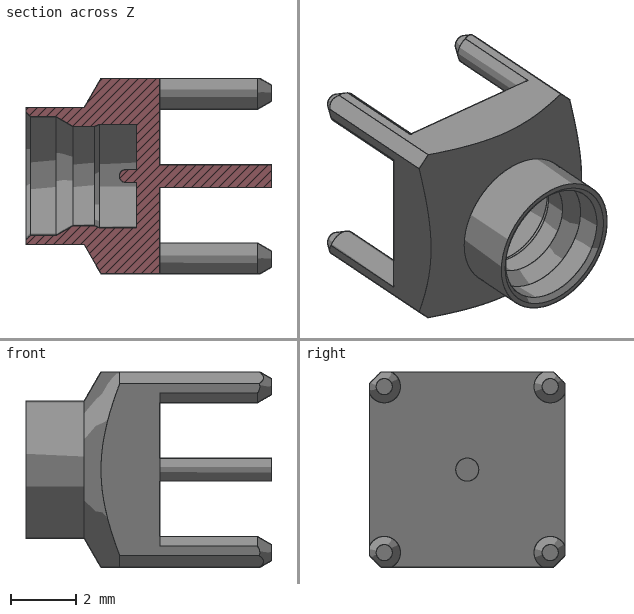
import cadquery as cq
import math

total_length = 7.52
body_width = 5.99
half_width = body_width / 2
corner_chamfer = 0.36
flare_angle = math.radians(30)

sleeve_radius = 2.105
sleeve_length = 1.78
body_back = 4.1

mouth_radius = 1.955
entry_radius = 1.81
taper_start = 0.925
neck_radius = 1.52
neck_end = 2.105
undercut_radius = 1.58
undercut_start = 2.25
bore_depth = 3.385

contact_radius = 0.2
contact_tip = 2.86
pin_radius = 0.35
leg_radius = 0.5
leg_tip_radius = 0.25
leg_offset = 2.54


def revolve_about_x(points):
    """Revolve a closed (x, radius) outline around the X axis."""
    return cq.Workplane("XY").polyline(points).close().revolve(360, (0, 0, 0), (1, 0, 0))


def square_envelope():
    """Full-length square bar with chamfered corners that trims the body and legs."""
    bar = cq.Workplane("YZ").rect(body_width, body_width).extrude(total_length)
    return bar.edges("|X").chamfer(corner_chamfer)


def sleeve_and_shoulder():
    """Sleeve, conical shoulder and body, round until trimmed by the square bar."""
    blank_radius = half_width * math.sqrt(2)
    shoulder_end = sleeve_length + (blank_radius - sleeve_radius) * math.tan(flare_angle)
    return revolve_about_x([
        (0, 0),
        (0, sleeve_radius),
        (sleeve_length, sleeve_radius),
        (shoulder_end, blank_radius),
        (body_back, blank_radius),
        (body_back, 0),
    ])


def ground_leg(y, z):
    """Round leg with a tapered tip, rooted at the back of the body."""
    tip_length = (leg_radius - leg_tip_radius) / math.tan(flare_angle)
    leg = revolve_about_x([
        (body_back, 0),
        (body_back, leg_radius),
        (total_length - tip_length, leg_radius),
        (total_length, leg_tip_radius),
        (total_length, 0),
    ])
    return leg.translate((0, y, z))


def stepped_bore():
    """Blind bore with a 45 degree mouth chamfer, a tapered lead-in to the neck and an undercut."""
    taper_end = taper_start + (entry_radius - neck_radius) / math.tan(flare_angle)
    return revolve_about_x([
        (0, 0),
        (0, mouth_radius),
        (mouth_radius - entry_radius, entry_radius),
        (taper_start, entry_radius),
        (taper_end, neck_radius),
        (neck_end, neck_radius),
        (undercut_start, undercut_radius),
        (bore_depth, undercut_radius),
        (bore_depth, 0),
    ])


def contact():
    """Round-nosed centre contact standing on the bore floor."""
    nose_start = contact_tip + contact_radius
    nose_middle = contact_radius * math.sqrt(0.5)
    return (
        cq.Workplane("XY")
        .moveTo(contact_tip, 0)
        .threePointArc((nose_start - nose_middle, nose_middle), (nose_start, contact_radius))
        .lineTo(body_back, contact_radius)
        .lineTo(body_back, 0)
        .close()
        .revolve(360, (0, 0, 0), (1, 0, 0))
    )


def solder_pin():
    """Plain centre pin behind the body."""
    pin_length = total_length - body_back
    return cq.Workplane("YZ").workplane(offset=body_back).circle(pin_radius).extrude(pin_length)


result = sleeve_and_shoulder()
for y in (-leg_offset, leg_offset):
    for z in (-leg_offset, leg_offset):
        result = result.union(ground_leg(y, z))
result = result.intersect(square_envelope())
result = result.cut(stepped_bore()).union(contact()).union(solder_pin())